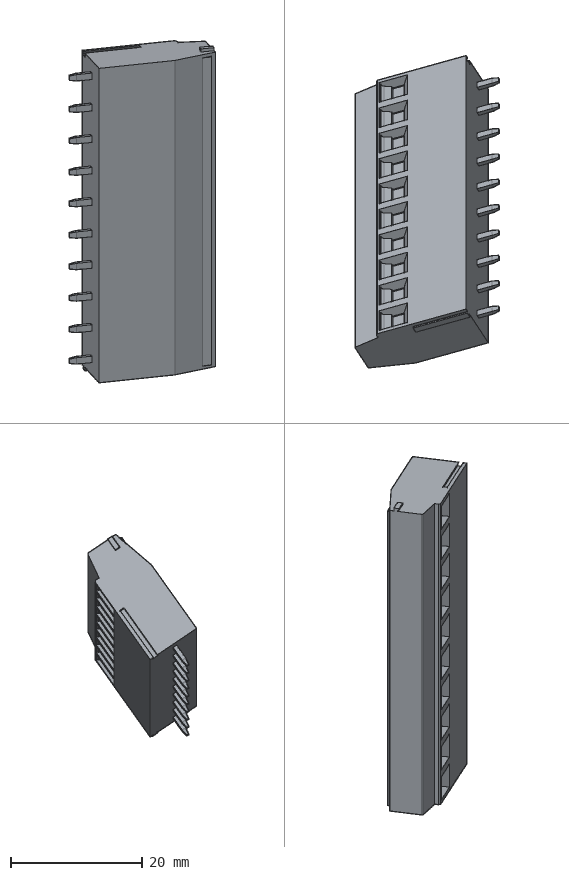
import cadquery as cq
import math


total_height = 51.8
pole_count = 10

body_width = 8.6
body_depth = 19.1
body_height = 50.8
lug_height = (total_height - body_height) / 2
pole_pitch = body_height / pole_count
left_x = -body_width / 2
right_x = body_width / 2
back_left_x = left_x + 1.6
back_right_x = left_x + 6.85
ledge_y = 14.95
ledge_width = 0.9
ledge_chamfer = 0.25
back_fillet = 0.2
slant_start_y = 12.05

entry_front_y = 9.75
entry_back_y = 14.4
entry_height = 3.9
funnel_depth = 1.4
funnel_side_angle = 20.5
funnel_front_angle = 39.0
rim_depth = 0.3
rim_width = 0.15
shelf_radius = 0.45
shelf_angle = 18.0
recess_depth = 1.6
recess_back_y = 12.8

pin_x = left_x + 4.55
pin_thickness = 0.65
pin_width = 1.05
pin_length = 3.45
pin_tip_length = 1.05
pin_tip_thickness = 0.35
pin_tip_width = 0.7

dovetail_x = left_x + 0.95
dovetail_neck = 0.65
dovetail_head = 1.05
head_thickness = 0.25
dovetail_length = 8.95
groove_depth = 0.6

hook_right_x = left_x + 6.15
hook_neck = 0.55
hook_head = 0.85
hook_length = 2.05

rib_top_y = 18.45
rib_crest_y = 18.3
rib_foot_y = 16.9
rib_end_inset = 0.5
rib_root_depth = 0.5


def slant_x(y):
    """X of the slanted +X face at the given Y."""
    run = (body_depth - y) / (body_depth - slant_start_y)
    return back_right_x + run * (right_x - back_right_x)


def housing():
    outline = (
        cq.Workplane("XY")
        .moveTo(left_x, 0)
        .lineTo(right_x, 0)
        .lineTo(right_x, slant_start_y)
        .lineTo(back_right_x, body_depth)
        .lineTo(back_left_x, body_depth)
        .lineTo(left_x + ledge_width, ledge_y)
        .lineTo(left_x + ledge_chamfer, ledge_y)
        .lineTo(left_x, ledge_y - ledge_chamfer)
        .close()
    )
    block = outline.extrude(body_height)
    back_left_edge = cq.selectors.NearestToPointSelector((back_left_x, body_depth, body_height / 2))
    return block.edges(back_left_edge).fillet(back_fillet)


def wire_entry(z):
    """Cutter for one wire entry, centred at height z."""
    funnel_front_y = entry_front_y + funnel_depth * math.tan(math.radians(funnel_front_angle))
    funnel_floor_height = entry_height - 2 * funnel_depth * math.tan(math.radians(funnel_side_angle))
    slope = math.radians(shelf_angle)
    rim_y = entry_back_y - rim_width
    shelf_start_depth = rim_depth + shelf_radius * math.cos(slope)
    shelf_start_y = rim_y - shelf_radius * (1 - math.sin(slope))
    shelf_end_depth = shelf_start_depth + (shelf_start_y - recess_back_y) * math.tan(slope)
    plan = (
        cq.Workplane("XY", origin=(left_x, 0, z))
        .moveTo(0, entry_front_y)
        .lineTo(funnel_depth, funnel_front_y)
        .lineTo(funnel_depth, recess_back_y)
        .lineTo(shelf_end_depth, recess_back_y)
        .lineTo(shelf_start_depth, shelf_start_y)
        .radiusArc((rim_depth, rim_y), -shelf_radius)
        .lineTo(rim_depth, entry_back_y)
        .lineTo(0, entry_back_y)
        .close()
        .extrude(entry_height / 2, both=True)
    )
    tapered_sides = (
        cq.Workplane("XZ", origin=(left_x, 0, z))
        .moveTo(0, -entry_height / 2)
        .lineTo(funnel_depth, -funnel_floor_height / 2)
        .lineTo(funnel_depth, funnel_floor_height / 2)
        .lineTo(0, entry_height / 2)
        .close()
        .extrude(-body_depth)
    )
    recess_length = recess_back_y - funnel_front_y
    recess = cq.Workplane("XY", origin=(left_x, funnel_front_y, z)).box(
        recess_depth, recess_length, funnel_floor_height, centered=(False, False, True)
    )
    return plan.intersect(tapered_sides).union(recess)


def solder_pin(z):
    shank_length = pin_length - pin_tip_length
    shank = (
        cq.Workplane("XZ", origin=(pin_x, 0, z))
        .rect(pin_thickness, pin_width)
        .extrude(shank_length)
    )
    tip = (
        cq.Workplane("XZ", origin=(pin_x, -shank_length, z))
        .rect(pin_thickness, pin_width)
        .workplane(offset=pin_tip_length)
        .rect(pin_tip_thickness, pin_tip_width)
        .loft()
    )
    return shank.union(tip)


def dovetail(z, height):
    """Dovetail bar with its neck at height z + height and its wider head at height z."""
    return (
        cq.Workplane("XZ", origin=(dovetail_x, 0, z))
        .moveTo(-dovetail_head / 2, 0)
        .lineTo(dovetail_head / 2, 0)
        .lineTo(dovetail_head / 2, head_thickness)
        .lineTo(dovetail_neck / 2, height)
        .lineTo(-dovetail_neck / 2, height)
        .lineTo(-dovetail_head / 2, head_thickness)
        .close()
        .extrude(-dovetail_length)
    )


def hooked_lug():
    return (
        cq.Workplane("XZ", origin=(hook_right_x, body_depth, body_height))
        .lineTo(0, lug_height)
        .lineTo(-hook_head, lug_height)
        .lineTo(-hook_head, lug_height - head_thickness)
        .lineTo(-hook_neck, 0)
        .close()
        .extrude(hook_length)
    )


def slant_rib():
    crest_x = slant_x(rib_foot_y)
    return (
        cq.Workplane("XY", origin=(0, 0, rib_end_inset))
        .moveTo(slant_x(rib_top_y), rib_top_y)
        .lineTo(crest_x, rib_crest_y)
        .lineTo(crest_x, rib_foot_y)
        .lineTo(crest_x - rib_root_depth, rib_foot_y)
        .close()
        .extrude(body_height - 2 * rib_end_inset)
    )


result = housing()
result = result.cut(dovetail(body_height - groove_depth, groove_depth))
result = result.union(dovetail(-lug_height, lug_height))
result = result.union(hooked_lug())
result = result.union(slant_rib())
for pole in range(pole_count):
    pole_z = (pole + 0.5) * pole_pitch
    result = result.cut(wire_entry(pole_z))
    result = result.union(solder_pin(pole_z))